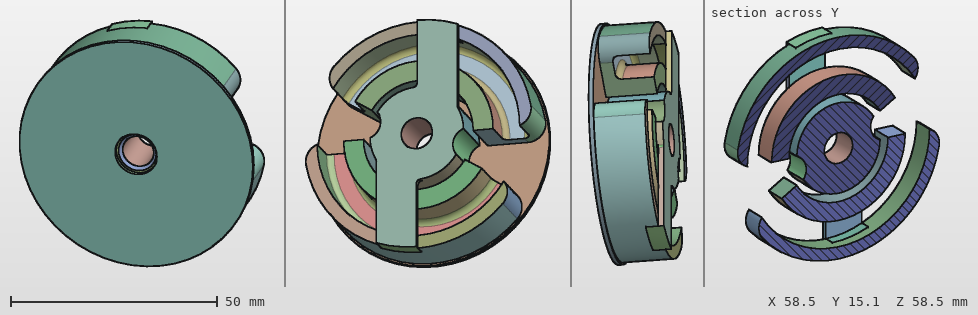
import cadquery as cq
import math


COVER_DIAMETER = 58.5
COVER_THICKNESS = 1.15
COVER_HOLE_DIAMETER = 10.5

TOTAL_LENGTH = 15.1
ARM_THICKNESS = 1.4
SHOE_BACK = TOTAL_LENGTH - ARM_THICKNESS
SHOE_LENGTH = SHOE_BACK - COVER_THICKNESS

SHOE_OUTER_RADIUS = 28.75
SHOE_INNER_RADIUS = 13.8
SHOE_SPAN = 148.5
SHOE_CENTRE_ANGLE = 106.2
SHOE_LIP_RADIUS = 4.4

GROOVE_INNER_RADIUS = 18.8
GROOVE_OUTER_RADIUS = 25.5
GROOVE_FLOOR = 4.4
GROOVE_FLOOR_FILLET = 1.5

HUB_RADIUS = 11.75
BORE_DIAMETER = 7.78
BORE_MOUTH_DIAMETER = 9.4
BORE_CHAMFER = (BORE_MOUTH_DIAMETER - BORE_DIAMETER) / 2
SCOOP_START_Z = 0.1
SCOOP_END_Z = -6.25
SCOOP_RADIUS = 4.1
ARM_LEFT = -10.2
ARM_RIGHT = -0.1
ARM_ROOT_FILLET = 1.1
HOOK_LENGTH = 4.5
HOOK_FRONT = TOTAL_LENGTH - HOOK_LENGTH

HALF_TURN = 180


def plane_at(y):
    """XZ plane at the given Y, with local x = X, local y = Z, extruding towards -Y."""
    return cq.Workplane("XZ", origin=(0, y, 0))


def cylinder(radius, front, back):
    return plane_at(back).circle(radius).extrude(back - front)


def ring(outer_radius, inner_radius, front, back):
    return plane_at(back).circle(outer_radius).circle(inner_radius).extrude(back - front)


def polar(radius, angle):
    return (radius * math.cos(math.radians(angle)), radius * math.sin(math.radians(angle)))


def half_turn(shape):
    return shape.rotate((0, 0, 0), (0, 1, 0), HALF_TURN)


def arm_block(front, back):
    """Rectangular length of the upper arm, from the axis out past the shoes."""
    return (
        plane_at(back)
        .moveTo(ARM_LEFT, 0)
        .lineTo(ARM_RIGHT, 0)
        .lineTo(ARM_RIGHT, COVER_DIAMETER)
        .lineTo(ARM_LEFT, COVER_DIAMETER)
        .close()
        .extrude(back - front)
    )


def make_hook():
    """Block on the upper arm that fills a notch in the outer wall of the shoe."""
    wall = ring(SHOE_OUTER_RADIUS, GROOVE_OUTER_RADIUS, HOOK_FRONT, TOTAL_LENGTH)
    return wall.intersect(arm_block(HOOK_FRONT, TOTAL_LENGTH))


def make_groove():
    groove = ring(GROOVE_OUTER_RADIUS, GROOVE_INNER_RADIUS, GROOVE_FLOOR, SHOE_BACK)
    return groove.faces("<Y").edges().fillet(GROOVE_FLOOR_FILLET)


def make_shoe():
    """Upper shoe: radial ends with rounded outer corners, an arc groove and a hook notch."""
    start = SHOE_CENTRE_ANGLE - SHOE_SPAN / 2
    end = SHOE_CENTRE_ANGLE + SHOE_SPAN / 2
    shoe = (
        plane_at(SHOE_BACK)
        .moveTo(*polar(SHOE_INNER_RADIUS, start))
        .lineTo(*polar(SHOE_OUTER_RADIUS, start))
        .threePointArc(polar(SHOE_OUTER_RADIUS, SHOE_CENTRE_ANGLE), polar(SHOE_OUTER_RADIUS, end))
        .lineTo(*polar(SHOE_INNER_RADIUS, end))
        .threePointArc(polar(SHOE_INNER_RADIUS, SHOE_CENTRE_ANGLE), polar(SHOE_INNER_RADIUS, start))
        .close()
        .extrude(SHOE_LENGTH)
    )
    middle_y = SHOE_BACK - SHOE_LENGTH / 2
    for angle in (start, end):
        x, z = polar(SHOE_OUTER_RADIUS, angle)
        corner = shoe.edges("|Y").edges(cq.NearestToPointSelector((x, middle_y, z)))
        shoe = corner.fillet(SHOE_LIP_RADIUS)
    return shoe.cut(make_groove()).cut(make_hook())


def make_arm():
    plate = cylinder(SHOE_OUTER_RADIUS, SHOE_BACK, TOTAL_LENGTH)
    arm = plate.intersect(arm_block(SHOE_BACK, TOTAL_LENGTH))
    return arm.union(make_hook())


def make_arm_root(side_x, outward):
    """Fillet between the hub and one side of the upper arm; outward is -1 for left, 1 for right."""
    centre_distance = HUB_RADIUS + ARM_ROOT_FILLET
    x = side_x + outward * ARM_ROOT_FILLET
    z = math.sqrt(centre_distance**2 - x**2)
    tangent_scale = HUB_RADIUS / centre_distance
    corner_z = math.sqrt(HUB_RADIUS**2 - side_x**2) * tangent_scale
    side_angle = HALF_TURN if outward > 0 else 2 * HALF_TURN
    hub_angle = HALF_TURN + math.degrees(math.atan2(z, x))
    dx, dz = polar(ARM_ROOT_FILLET, (side_angle + hub_angle) / 2)
    return (
        plane_at(TOTAL_LENGTH)
        .moveTo(side_x, z)
        .threePointArc((x + dx, z + dz), (x * tangent_scale, z * tangent_scale))
        .lineTo(side_x, corner_z)
        .close()
        .extrude(ARM_THICKNESS)
    )


def make_scoop():
    """Round scoop along the left side of the hub, through its two limits on the rim."""
    start_x = -math.sqrt(HUB_RADIUS**2 - SCOOP_START_Z**2)
    end_x = -math.sqrt(HUB_RADIUS**2 - SCOOP_END_Z**2)
    chord = math.hypot(end_x - start_x, SCOOP_END_Z - SCOOP_START_Z)
    centre_radius = math.sqrt(HUB_RADIUS**2 - chord**2 / 4) + math.sqrt(SCOOP_RADIUS**2 - chord**2 / 4)
    chord_angle = math.degrees(math.atan2(SCOOP_START_Z + SCOOP_END_Z, start_x + end_x))
    return (
        plane_at(TOTAL_LENGTH)
        .center(*polar(centre_radius, chord_angle))
        .circle(SCOOP_RADIUS)
        .extrude(TOTAL_LENGTH - COVER_THICKNESS)
    )


def make_hub():
    hub = cylinder(HUB_RADIUS, COVER_THICKNESS, TOTAL_LENGTH)
    for feature in (make_arm(), make_arm_root(ARM_LEFT, -1), make_arm_root(ARM_RIGHT, 1)):
        hub = hub.union(feature).union(half_turn(feature))
    scoop = make_scoop()
    hub = hub.cut(scoop).cut(half_turn(scoop))
    hub = hub.cut(cylinder(BORE_DIAMETER / 2, COVER_THICKNESS, TOTAL_LENGTH))
    bore_mouth = hub.faces("<Y").edges(cq.NearestToPointSelector((0, COVER_THICKNESS, 0)))
    return bore_mouth.chamfer(BORE_CHAMFER)


cover = ring(COVER_DIAMETER / 2, COVER_HOLE_DIAMETER / 2, 0, COVER_THICKNESS)
hub = make_hub()
shoes = []
for turn in (0, HALF_TURN):
    shoes.append(make_shoe().rotate((0, 0, 0), (0, 1, 0), turn))

result = cq.Compound.makeCompound([cover.val(), hub.val(), *[shoe.val() for shoe in shoes]])